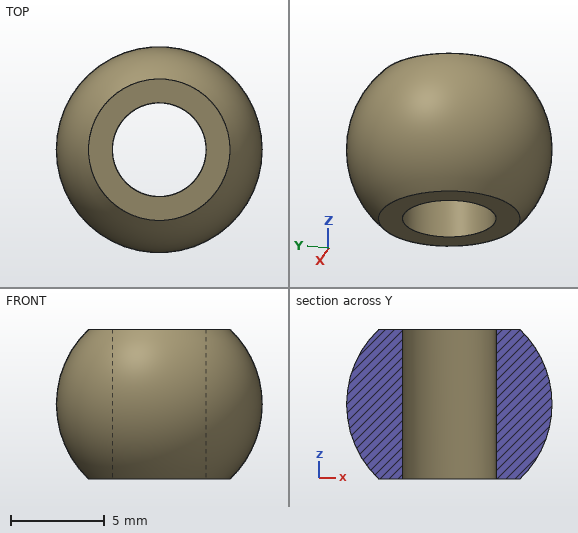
import cadquery as cq
import math

ball_diameter = 11.01
bead_height = 8.0
bore_diameter = 5.0

ball_radius = ball_diameter / 2
half_height = bead_height / 2
bore_radius = bore_diameter / 2
flat_radius = math.sqrt(ball_radius**2 - half_height**2)


def bored_ball():
    """Ball centred on the origin, cut flat at both ends and bored through along Z.

    The half section, revolved about Z, has a straight bore side and an arc
    that bulges out to the full ball radius at the equator.
    """
    half_section = (
        cq.Workplane("XZ")
        .moveTo(bore_radius, -half_height)
        .lineTo(flat_radius, -half_height)
        .threePointArc((ball_radius, 0), (flat_radius, half_height))
        .lineTo(bore_radius, half_height)
        .close()
    )
    return half_section.revolve(360, (0, 0, 0), (0, 1, 0))


result = bored_ball()